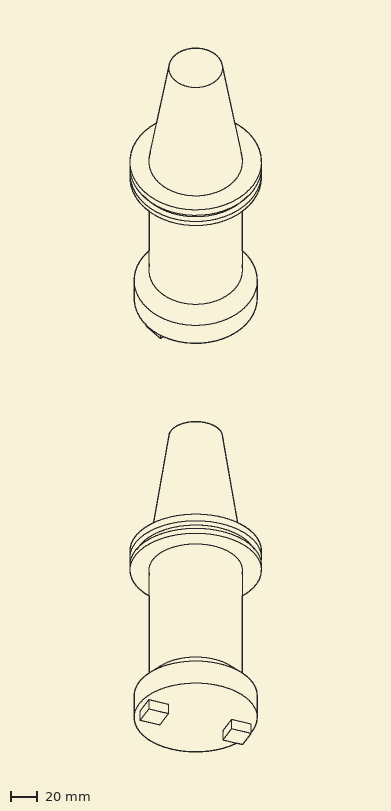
import cadquery as cq

total_height = 262.0
key_height = 8.5
head_height = 20.0
taper_length = 101.7
flange_gap = 1.5
flange_thickness = 17.3

shank_diameter = 70.0
head_diameter = 92.3
flange_diameter = 98.5
groove_diameter = 91.5
taper_ratio = 7 / 24

groove_drop = 11.0
groove_floor_width = 4.0
groove_mouth_width = 6.8

key_width = 16.5
key_length = 16.0
key_outer_reach = 41.7

shank_radius = shank_diameter / 2
tip_radius = shank_radius - taper_length * taper_ratio / 2
head_radius = head_diameter / 2
flange_radius = flange_diameter / 2
groove_radius = groove_diameter / 2

gauge_z = total_height - taper_length
flange_top = gauge_z - flange_gap
flange_bottom = flange_top - flange_thickness
groove_z = gauge_z - groove_drop
head_top = key_height + head_height
shoulder_top = head_top + head_radius - shank_radius


def make_holder():
    """Revolve the half profile (radius, height) around Z."""
    profile = [
        (0, key_height),
        (head_radius, key_height),
        (head_radius, head_top),
        (shank_radius, shoulder_top),
        (shank_radius, flange_bottom),
        (flange_radius, flange_bottom),
        (flange_radius, groove_z - groove_mouth_width / 2),
        (groove_radius, groove_z - groove_floor_width / 2),
        (groove_radius, groove_z + groove_floor_width / 2),
        (flange_radius, groove_z + groove_mouth_width / 2),
        (flange_radius, flange_top),
        (shank_radius, flange_top),
        (shank_radius, gauge_z),
        (tip_radius, total_height),
        (0, total_height),
    ]
    outline = cq.Workplane("XZ").polyline(profile).close()
    return outline.revolve(360, (0, 0, 0), (0, 1, 0))


def make_keys():
    """Two opposite rectangular keys below the head, on the Y axis."""
    key_offset = key_outer_reach - key_length / 2
    centers = [(0, -key_offset), (0, key_offset)]
    return cq.Workplane("XY").pushPoints(centers).rect(key_width, key_length).extrude(key_height)


result = make_holder().union(make_keys())